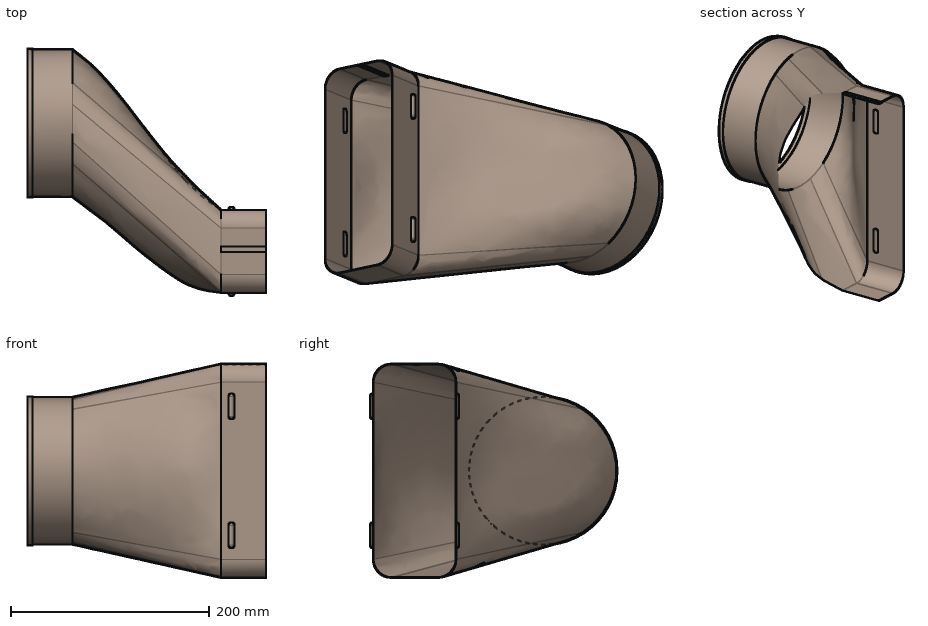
import cadquery as cq
import math

WALL = 0.6

COLLAR_INNER_DIA = 148.0
COLLAR_OUTER_DIA = COLLAR_INNER_DIA + 2 * WALL
HEM_DIA = COLLAR_OUTER_DIA + 2 * WALL
HEM_LENGTH = 5.2

TOTAL_LENGTH = 241.05
TRANSITION_LENGTH = 150.0
END_LENGTH = (TOTAL_LENGTH - TRANSITION_LENGTH) / 2
SPIGOT_START = END_LENGTH + TRANSITION_LENGTH

SPIGOT_WIDTH = 84.0
SPIGOT_HEIGHT = 216.0
SPIGOT_CORNER_RADIUS = 18.0 + WALL
TOTAL_WIDTH = 249.64

BEAD_RADIUS = 3.0
BEAD_STRAIGHT_LENGTH = 20.0
BEAD_FROM_SPIGOT_START = 10.5
BEAD_Z = 65.0

LAP_WIDTH = 5.2
LAP_EDGE_OFFSET = -0.5

SPIGOT_Y = HEM_DIA / 2 + SPIGOT_WIDTH / 2 + BEAD_RADIUS - TOTAL_WIDTH

SLOPES = {1: (-0.63, -0.5), -1: (-0.64, 0.0)}
GUIDE_STATIONS = 5


def outline_angles():
    """Angles from +Z where the circle is split, in proportion to the spigot's perimeter."""
    flat_top = SPIGOT_WIDTH - 2 * SPIGOT_CORNER_RADIUS
    flat_side = SPIGOT_HEIGHT - 2 * SPIGOT_CORNER_RADIUS
    corner = math.pi / 2 * SPIGOT_CORNER_RADIUS
    perimeter = 2 * flat_top + 2 * flat_side + 4 * corner
    top_angle = math.pi * flat_top / perimeter
    return top_angle, top_angle + 2 * math.pi * corner / perimeter


def circle_edge(radius, start, end):
    """Arc of the collar end between two angles measured from +Z towards +Y."""
    def point(angle):
        return cq.Vector(END_LENGTH, radius * math.sin(angle), radius * math.cos(angle))
    return cq.Edge.makeThreePointArc(point(start), point((start + end) / 2), point(end))


def spigot_edges(inset):
    """Spigot outline, starting with the top flat and going towards +Y, then down."""
    half_y = SPIGOT_WIDTH / 2 - inset
    half_z = SPIGOT_HEIGHT / 2 - inset
    radius = SPIGOT_CORNER_RADIUS - inset
    flat_y = half_y - radius
    flat_z = half_z - radius
    diagonal = radius * math.sqrt(0.5)

    def point(y, z):
        return cq.Vector(SPIGOT_START, SPIGOT_Y + y, z)

    def corner(y_sign, z_sign):
        upright = point(y_sign * flat_y, z_sign * half_z)
        middle = point(y_sign * (flat_y + diagonal), z_sign * (flat_z + diagonal))
        side = point(y_sign * half_y, z_sign * flat_z)
        if y_sign == z_sign:
            return cq.Edge.makeThreePointArc(upright, middle, side)
        return cq.Edge.makeThreePointArc(side, middle, upright)

    return [
        cq.Edge.makeLine(point(-flat_y, half_z), point(flat_y, half_z)),
        corner(1, 1),
        cq.Edge.makeLine(point(half_y, flat_z), point(half_y, -flat_z)),
        corner(1, -1),
        cq.Edge.makeLine(point(flat_y, -half_z), point(-flat_y, -half_z)),
        corner(-1, -1),
        cq.Edge.makeLine(point(-half_y, -flat_z), point(-half_y, flat_z)),
        corner(-1, 1),
    ]


def guide_points(side, inset):
    """Points of the cubic curve that a side wall follows on the plane z = 0."""
    start = side * (COLLAR_OUTER_DIA / 2 - inset)
    end = SPIGOT_Y + side * (SPIGOT_WIDTH / 2 - inset)
    start_slope, end_slope = SLOPES[side]
    points = []
    for station in range(1, GUIDE_STATIONS + 1):
        t = station / (GUIDE_STATIONS + 1)
        blend = t * t * (3 - 2 * t)
        from_start = TRANSITION_LENGTH * start_slope * t * (1 - t) ** 2
        from_end = TRANSITION_LENGTH * end_slope * t * t * (t - 1)
        y = start + (end - start) * blend + from_start + from_end
        points.append(cq.Vector(END_LENGTH + t * TRANSITION_LENGTH, y, 0))
    return points


def side_face(round_edge, flat_edge, side, inset):
    """Curved side wall between two straight fold lines, guided along z = 0."""
    folds = [
        cq.Edge.makeLine(round_edge.startPoint(), flat_edge.startPoint()),
        cq.Edge.makeLine(round_edge.endPoint(), flat_edge.endPoint()),
    ]
    boundary = [round_edge, folds[1], flat_edge, folds[0]]
    return cq.Face.makeNSidedSurface(boundary, guide_points(side, inset))


def transition_solid(inset):
    """Solid circle-to-rectangle transition, reduced by the inset all round."""
    top, side = outline_angles()
    angles = [-top, top, side, math.pi - side, math.pi - top]
    angles += [math.pi + top, math.pi + side, 2 * math.pi - side, 2 * math.pi - top]
    radius = COLLAR_OUTER_DIA / 2 - inset
    round_edges = [circle_edge(radius, a, b) for a, b in zip(angles, angles[1:])]
    flat_edges = spigot_edges(inset)
    curved_sides = {2: 1, 6: -1}
    faces = []
    for index, (round_edge, flat_edge) in enumerate(zip(round_edges, flat_edges)):
        if index in curved_sides:
            faces.append(side_face(round_edge, flat_edge, curved_sides[index], inset))
        else:
            faces.append(cq.Face.makeRuledSurface(round_edge, flat_edge))
    faces.append(cq.Face.makeFromWires(cq.Wire.assembleEdges(round_edges)))
    faces.append(cq.Face.makeFromWires(cq.Wire.assembleEdges(flat_edges)))
    sewn = cq.Shell.makeShell(faces)
    return cq.Workplane(obj=cq.Solid.makeSolid(sewn).fix())


def cylinder_x(diameter, length):
    return cq.Workplane("YZ").circle(diameter / 2).extrude(length)


def spigot_block(inset):
    block = (
        cq.Workplane("YZ", origin=(SPIGOT_START, SPIGOT_Y, 0))
        .rect(SPIGOT_WIDTH - 2 * inset, SPIGOT_HEIGHT - 2 * inset)
        .extrude(END_LENGTH)
    )
    return block.edges("|X").fillet(SPIGOT_CORNER_RADIUS - inset)


def collar():
    tube = cylinder_x(COLLAR_OUTER_DIA, END_LENGTH).union(cylinder_x(HEM_DIA, HEM_LENGTH))
    return tube.cut(cylinder_x(COLLAR_INNER_DIA, END_LENGTH))


def transition():
    return transition_solid(0).cut(transition_solid(WALL))


def bead(y, z):
    """Vertical capsule centred on the outer wall surface."""
    half = BEAD_STRAIGHT_LENGTH / 2
    rod = cq.Workplane("XY", origin=(0, 0, -half)).circle(BEAD_RADIUS).extrude(2 * half)
    for end in (-half, half):
        rod = rod.union(cq.Workplane("XY", origin=(0, 0, end)).sphere(BEAD_RADIUS))
    return rod.translate((SPIGOT_START + BEAD_FROM_SPIGOT_START, y, z))


def lap_strip():
    """Second sheet layer under the top wall, along the spigot."""
    corner = (SPIGOT_START, SPIGOT_Y + LAP_EDGE_OFFSET, SPIGOT_HEIGHT / 2 - 2 * WALL)
    return cq.Workplane("XY", origin=corner).box(END_LENGTH, LAP_WIDTH, WALL, centered=False)


def spigot():
    block = spigot_block(0)
    for side in (-1, 1):
        for z in (-BEAD_Z, BEAD_Z):
            block = block.union(bead(SPIGOT_Y + side * SPIGOT_WIDTH / 2, z))
    return block.cut(spigot_block(WALL)).union(lap_strip())


result = collar().union(transition()).union(spigot())